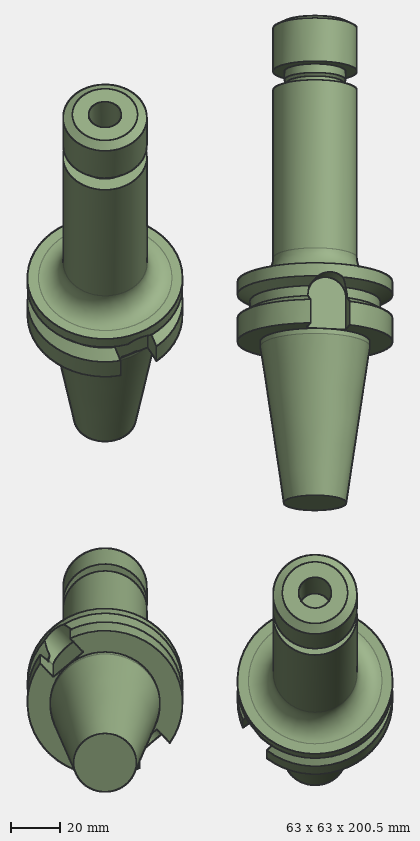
import cadquery as cq
import math

total_height = 200.5

taper_length = 65.3
taper_top_radius = 22.2
taper_ratio = 7 / 24
taper_bottom_radius = taper_top_radius - taper_length * taper_ratio / 2
shank_collar_height = 2.0

flange_radius = 31.5
groove_radius = 26.5
flange_bottom = taper_length + shank_collar_height
lower_rim_top = flange_bottom + 9.8
groove_floor_bottom = 80.0
groove_floor_top = 84.2
upper_rim_bottom = 87.0
flange_top = 92.4

body_radius = 17.0
flare_radius = 10.0
flare_top = flange_top + flare_radius
nut_gap = 7.8

nut_radius = body_radius
nut_height = 20.0
nut_bottom = total_height - nut_height
nut_chamfer_height = 2.0
nut_face_radius = 13.2
neck_radius = 11.5
neck_collar_radius = 12.5
neck_collar_height = 3.6
neck_cone_height = 1.2
neck_collar_bottom = nut_bottom - neck_collar_height
neck_cone_bottom = neck_collar_bottom - neck_cone_height
body_top = nut_bottom - nut_gap

bore_radius = 6.6
bore_depth = nut_height

slot_width = 16.2
slot_floor_offset = 22.5
slot_top = 88.8
slot_arc_center = slot_top - slot_width / 2


def turned_body():
    """Revolve the half profile, drawn as radius and height, about Z."""
    flare_reach = flare_radius * (1 - math.sqrt(0.5))
    profile = (
        cq.Workplane("XZ")
        .moveTo(0, 0)
        .lineTo(taper_bottom_radius, 0)
        .lineTo(taper_top_radius, taper_length)
        .lineTo(taper_top_radius, flange_bottom)
        .lineTo(flange_radius, flange_bottom)
        .lineTo(flange_radius, lower_rim_top)
        .lineTo(groove_radius, groove_floor_bottom)
        .lineTo(groove_radius, groove_floor_top)
        .lineTo(flange_radius, upper_rim_bottom)
        .lineTo(flange_radius, flange_top)
        .lineTo(body_radius + flare_radius, flange_top)
        .threePointArc(
            (body_radius + flare_reach, flange_top + flare_reach),
            (body_radius, flare_top),
        )
        .lineTo(body_radius, body_top)
        .lineTo(neck_radius, body_top)
        .lineTo(neck_radius, neck_cone_bottom)
        .lineTo(neck_collar_radius, neck_collar_bottom)
        .lineTo(neck_collar_radius, nut_bottom)
        .lineTo(nut_radius, nut_bottom)
        .lineTo(nut_radius, total_height - nut_chamfer_height)
        .lineTo(nut_face_radius, total_height)
        .lineTo(0, total_height)
        .close()
    )
    return profile.revolve(360, (0, 0, 0), (0, 1, 0))


def tool_bore():
    """Blind bore down from the nut face."""
    return (
        cq.Workplane("XY")
        .workplane(offset=total_height - bore_depth)
        .circle(bore_radius)
        .extrude(bore_depth)
    )


def drive_slot():
    """Round-topped slot on the +X side, open at the flange bottom."""
    half_width = slot_width / 2
    return (
        cq.Workplane("YZ")
        .workplane(offset=slot_floor_offset)
        .moveTo(-half_width, flange_bottom)
        .lineTo(half_width, flange_bottom)
        .lineTo(half_width, slot_arc_center)
        .threePointArc((0, slot_top), (-half_width, slot_arc_center))
        .close()
        .extrude(flange_radius)
    )


result = turned_body().cut(tool_bore())
for slot_angle in (0, 180):
    result = result.cut(drive_slot().rotate((0, 0, 0), (0, 0, 1), slot_angle))